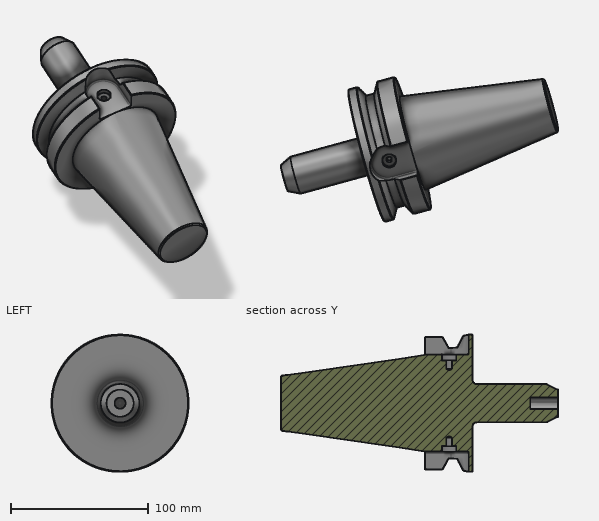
import cadquery as cq
import math


pin_radius = 14.03
nose_radius = 9.9
nose_length = 8.5
root_fillet = 2.8
nose_hole_diameter = 8.0
nose_hole_depth = 20.2

flange_radius = 50.0
flange_thickness = 35.0
flange_back = 97.0
flange_front = flange_back - flange_thickness
flange_edge = 0.6
groove_lip = 0.5
groove_floor_radius = 42.4
groove_floor_front = 73.5
groove_floor_back = 79.7
groove_wall_angle = 30.0

total_length = 201.8
gauge_radius = 35.0
gauge_offset = 3.0
taper_ratio = 7 / 48
taper_end_chamfer = 1.0

slot_width = 25.8
slot_floor = 35.3
slot_floor_fillet = 1.0
slot_tip = 65.2
slot_rim_chamfer = 0.5

bore_x = 79.3
bore_diameter = 10.0
bore_depth = 4.0
pilot_diameter = 4.0
pilot_depth = 6.0
drill_point_angle = 118.0

wall_slope = math.tan(math.radians(groove_wall_angle))
groove_run = (flange_radius - groove_floor_radius) * wall_slope
lip_radius = flange_radius - groove_lip
lip_run = (lip_radius - groove_floor_radius) * wall_slope


def taper_radius(x):
    """Radius of the taper at position x."""
    gauge_x = flange_back + gauge_offset
    return gauge_radius - (x - gauge_x) * taper_ratio


def turned_body():
    """Pin, flange and taper as one revolved outline."""
    taper_end = total_length - taper_end_chamfer
    outline = (
        cq.Workplane("XY")
        .lineTo(0, nose_radius)
        .lineTo(nose_length, pin_radius)
        .lineTo(flange_front - root_fillet, pin_radius)
        .radiusArc((flange_front, pin_radius + root_fillet), -root_fillet)
        .lineTo(flange_front, flange_radius - flange_edge)
        .lineTo(flange_front + flange_edge, flange_radius)
        .lineTo(groove_floor_front - groove_run - groove_lip, flange_radius)
        .lineTo(groove_floor_front - lip_run, lip_radius)
        .lineTo(groove_floor_front, groove_floor_radius)
        .lineTo(groove_floor_back, groove_floor_radius)
        .lineTo(groove_floor_back + lip_run, lip_radius)
        .lineTo(groove_floor_back + groove_run + groove_lip, flange_radius)
        .lineTo(flange_back - flange_edge, flange_radius)
        .lineTo(flange_back, flange_radius - flange_edge)
        .lineTo(flange_back, taper_radius(flange_back))
        .lineTo(taper_end, taper_radius(taper_end))
        .lineTo(total_length, taper_radius(taper_end) - taper_end_chamfer)
        .lineTo(total_length, 0)
        .close()
    )
    return outline.revolve(360, (0, 0, 0), (1, 0, 0))


def nose_hole():
    """Flat-bottomed axial hole in the nose."""
    return cq.Workplane("YZ").circle(nose_hole_diameter / 2).extrude(nose_hole_depth)


def drive_slot():
    """Round-ended slot, open at the back of the flange, with rounded floor edges."""
    half_width = slot_width / 2
    slot_height = flange_radius - slot_floor
    arc_centre = slot_tip + half_width
    slot = (
        cq.Workplane("XY", origin=(0, 0, slot_floor))
        .moveTo(flange_back, half_width)
        .lineTo(arc_centre, half_width)
        .threePointArc((slot_tip, 0), (arc_centre, -half_width))
        .lineTo(flange_back, -half_width)
        .close()
        .extrude(slot_height)
    )
    return slot.faces("<Z").edges("not >X").fillet(slot_floor_fillet)


def slot_bore():
    """Counterbored hole with a drill point, sunk into the slot floor."""
    bore_floor = slot_floor - bore_depth
    pilot_end = bore_floor - pilot_depth
    pilot_radius = pilot_diameter / 2
    point_depth = pilot_radius / math.tan(math.radians(drill_point_angle / 2))
    return (
        cq.Workplane("XZ", origin=(bore_x, 0, 0))
        .moveTo(0, slot_floor)
        .lineTo(bore_diameter / 2, slot_floor)
        .lineTo(bore_diameter / 2, bore_floor)
        .lineTo(pilot_radius, bore_floor)
        .lineTo(pilot_radius, pilot_end)
        .lineTo(0, pilot_end - point_depth)
        .close()
        .revolve(360, (0, 0, 0), (0, 1, 0))
    )


def break_slot_rims(body):
    """Chamfer the straight slot edges along the outside of the rear flange."""
    rim_height = math.sqrt(flange_radius**2 - (slot_width / 2) ** 2)
    rims = body.edges("|X").filter(lambda edge: math.isclose(abs(edge.Center().z), rim_height, abs_tol=0.02))
    return rims.chamfer(slot_rim_chamfer)


result = turned_body().cut(nose_hole())
for roll in (0, 180):
    for cutter in (drive_slot(), slot_bore()):
        result = result.cut(cutter.rotate((0, 0, 0), (1, 0, 0), roll))
result = break_slot_rims(result)